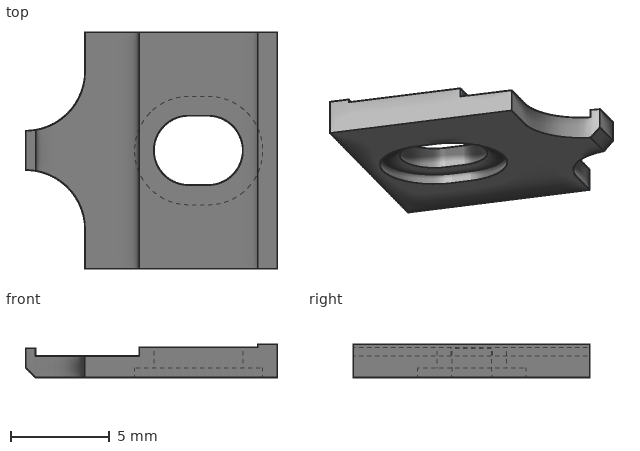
import cadquery as cq

length = 12.75
width = 12.0

floor_height = 1.1
pad_height = 1.55
rear_rib_height = 1.7
lip_height = 1.5

shoulder_x = 3.0
pad_start_x = 5.75
rear_rib_width = 1.0
lip_width = 0.5
tip_chamfer = 0.5

tip_width = 2.0
cutout_radius = shoulder_x

slot_length = 4.5
slot_width = 3.5
slot_center_x = 8.75

recess_depth = 0.5
recess_margin = 1.0


def stepped_body():
    """Side profile in XZ, extruded across the full width."""
    rear_rib_x = length - rear_rib_width
    profile = (
        cq.Workplane("XZ")
        .moveTo(tip_chamfer, 0)
        .lineTo(length, 0)
        .lineTo(length, rear_rib_height)
        .lineTo(rear_rib_x, rear_rib_height)
        .lineTo(rear_rib_x, pad_height)
        .lineTo(pad_start_x, pad_height)
        .lineTo(pad_start_x, floor_height)
        .lineTo(lip_width, floor_height)
        .lineTo(lip_width, lip_height)
        .lineTo(0, lip_height)
        .lineTo(0, tip_chamfer)
        .close()
    )
    return profile.extrude(width / 2, both=True)


def corner_cutout(side):
    """Material beside the tongue on one side (+1 or -1 along Y)."""
    arc_center_y = tip_width / 2 + cutout_radius
    cylinder = (
        cq.Workplane("XY")
        .center(0, side * arc_center_y)
        .circle(cutout_radius)
        .extrude(rear_rib_height)
    )
    block_depth = width / 2 - arc_center_y
    block = (
        cq.Workplane("XY")
        .center(shoulder_x / 2, side * (arc_center_y + block_depth / 2))
        .rect(shoulder_x, block_depth)
        .extrude(rear_rib_height)
    )
    return cylinder.union(block)


def slot_cutter(margin, height):
    """Slot-shaped cutter rising from the underside, wider than the slot by margin all round."""
    return (
        cq.Workplane("XY")
        .center(slot_center_x, 0)
        .slot2D(slot_length + 2 * margin, slot_width + 2 * margin)
        .extrude(height)
    )


result = stepped_body()
for side in (-1, 1):
    result = result.cut(corner_cutout(side))
result = result.cut(slot_cutter(0, rear_rib_height))
result = result.cut(slot_cutter(recess_margin, recess_depth))